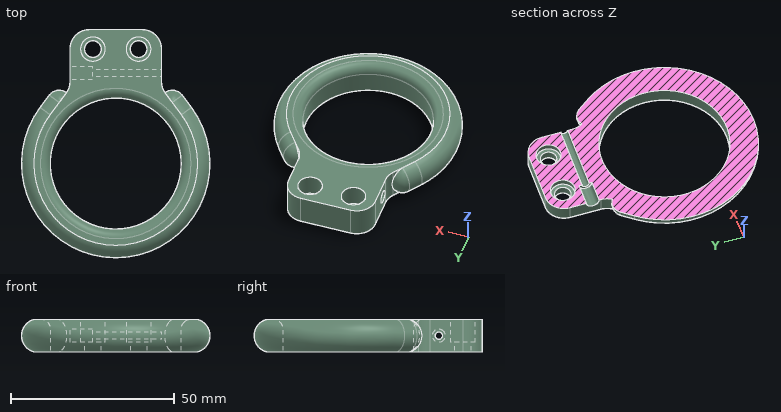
import cadquery as cq
import math

height = 10.0
bore_radius = 40.0 / 2
outer_radius = 28.85
inner_round = 3.0
rim_bulge = 3.85
rim_radius = outer_radius - rim_bulge
half_height = height / 2

overall_length = 69.9
tab_width = 28.1
tab_corner_radius = 6.0
tab_root_radius = 6.0
tab_top = overall_length - outer_radius

shoulder_angle = 36.6
shoulder_rim_length = 4.7

screw_spacing = 14.0
screw_edge_distance = 6.0
screw_diameter = 5.0
screw_head_diameter = 7.5
screw_head_depth = 7.0

cross_hole_y = 27.7
cross_diameter = 2.2
cross_counterbore_diameter = 4.0
cross_counterbore_depth = 7.0


def rim_profile(workplane, inset):
    """Rounded outer rim section, with its flat inner side at the given inset."""
    return (
        workplane.moveTo(inset, -half_height)
        .threePointArc((inset + rim_bulge, 0), (inset, half_height))
        .close()
    )


def make_plate():
    """Flat-faced core: a disc merged with the tab and its straight shoulders."""
    angle = math.radians(shoulder_angle)
    tangent_x = rim_radius * math.cos(angle)
    tangent_y = rim_radius * math.sin(angle)
    half_width = tab_width / 2
    root_y = tangent_y + (tangent_x - half_width) / math.tan(angle)
    tab = (
        cq.Workplane("XY", origin=(0, 0, -half_height))
        .polyline([
            (0, 0),
            (tangent_x, tangent_y),
            (half_width, root_y),
            (half_width, tab_top),
            (-half_width, tab_top),
            (-half_width, root_y),
            (-tangent_x, tangent_y),
        ])
        .close()
        .extrude(height)
    )
    for side in (-1, 1):
        root_point = (side * half_width, root_y, 0)
        tab = tab.edges(cq.selectors.NearestToPointSelector(root_point)).fillet(tab_root_radius)
    tab = tab.edges("|Z and >Y").fillet(tab_corner_radius)
    disc = cq.Workplane("XY", origin=(0, 0, -half_height)).circle(rim_radius).extrude(height)
    return disc.union(tab)


def make_ring_rim():
    """Rounded rim around the ring, open between the two shoulders."""
    sweep = 180 + 2 * shoulder_angle
    rim = rim_profile(cq.Workplane("XZ"), rim_radius).revolve(sweep, (0, 0), (0, -1))
    return rim.rotate((0, 0, 0), (0, 0, 1), shoulder_angle)


def make_shoulder_rim():
    """Straight rim on the +X shoulder, closed by a rounded end."""
    straight = rim_profile(cq.Workplane("XZ"), rim_radius).extrude(-shoulder_rim_length)
    end = (
        rim_profile(cq.Workplane("XZ"), 0)
        .revolve(360, (0, 0), (0, 1))
        .translate((rim_radius, shoulder_rim_length, 0))
    )
    return straight.union(end).rotate((0, 0, 0), (0, 0, 1), shoulder_angle)


def make_bore():
    """Bore cutter that also rounds the upper inner edge of the ring."""
    mouth_radius = bore_radius + inner_round
    round_start = half_height - inner_round
    arc_gap = inner_round * (1 - math.sqrt(0.5))
    return (
        cq.Workplane("XZ")
        .moveTo(0, -half_height)
        .lineTo(bore_radius, -half_height)
        .lineTo(bore_radius, round_start)
        .threePointArc((bore_radius + arc_gap, half_height - arc_gap), (mouth_radius, half_height))
        .lineTo(0, half_height)
        .close()
        .revolve(360, (0, 0), (0, 1))
    )


def drill_screw_holes(body):
    """Counterbored holes entering from the top face."""
    screw_y = tab_top - screw_edge_distance
    return (
        body.copyWorkplane(cq.Workplane("XY", origin=(0, screw_y, half_height)))
        .pushPoints([(-screw_spacing / 2, 0), (screw_spacing / 2, 0)])
        .cboreHole(screw_diameter, screw_head_diameter, screw_head_depth)
    )


def drill_cross_hole(body):
    """Hole along X, counterbored from the -X side of the tab."""
    start = cq.Workplane("YZ", origin=(-tab_width / 2, cross_hole_y, 0))
    hole = start.circle(cross_diameter / 2).extrude(tab_width)
    counterbore = start.circle(cross_counterbore_diameter / 2).extrude(cross_counterbore_depth)
    return body.cut(hole).cut(counterbore)


shoulder_rim = make_shoulder_rim()
body = make_plate().union(make_ring_rim())
body = body.union(shoulder_rim).union(shoulder_rim.mirror("YZ"))
body = body.cut(make_bore())
body = drill_screw_holes(body)
result = drill_cross_hole(body)